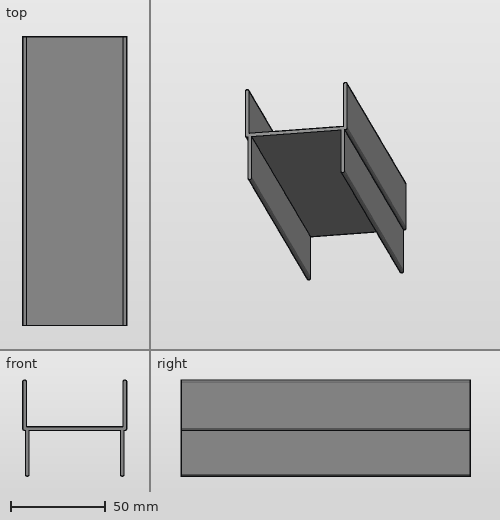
import cadquery as cq

width = 54.86
length = 152.4
height = 50.8

wall = 2.032
tip_radius = wall / 2
heel_radius = wall / 2
upper_depth = 26.67
lower_width = 52.07

top_z = height / 2
bottom_z = -height / 2
web_bottom_z = top_z - upper_depth
web_top_z = web_bottom_z + wall
upper_leg_x = (width - wall) / 2
lower_leg_x = (lower_width - wall) / 2


def bar(center_x, size_x, z_min, z_max):
    """Rectangular bar running the full length of the part, centred on Y."""
    center = (center_x, 0, (z_min + z_max) / 2)
    return cq.Workplane("XY").box(size_x, length, z_max - z_min).translate(center)


def rounded_tip(center_x, center_z):
    """Full-length cylinder that rounds off the tip of a leg."""
    far_end = cq.Workplane("XZ", origin=(center_x, length / 2, center_z))
    return far_end.circle(tip_radius).extrude(length)


def upper_leg():
    """Right upper leg with a rounded tip and a rounded outer heel."""
    tip_z = top_z - tip_radius
    leg = bar(upper_leg_x, wall, web_bottom_z, tip_z)
    leg = leg.edges("|Y and <Z and >X").fillet(heel_radius)
    return leg.union(rounded_tip(upper_leg_x, tip_z))


def lower_leg():
    """Right lower leg, inset from the upper one, with a rounded tip."""
    tip_z = bottom_z + tip_radius
    leg = bar(lower_leg_x, wall, tip_z, web_top_z)
    return leg.union(rounded_tip(lower_leg_x, tip_z))


def web():
    """Horizontal web spanning between the lower leg centre planes."""
    return bar(0, 2 * lower_leg_x, web_bottom_z, web_top_z)


right_side = upper_leg().union(lower_leg())
left_side = right_side.mirror("YZ")
result = web().union(right_side).union(left_side).clean().solids()